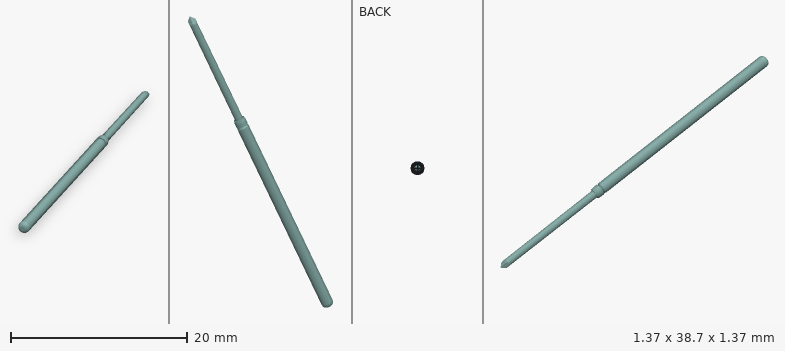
import cadquery as cq
import math


barrel_radius = 0.685
barrel_length = 25.0
rear_round_length = 0.5
rear_flat_radius = 0.285

mouth_length = 0.35
mouth_radius = 0.63

groove_front = -0.85
groove_width = 0.25
groove_depth = 0.15

overall_length = 38.7
plunger_length = overall_length - barrel_length
root_embed = 0.35
head_length = 2.0
head_radius = 0.45
plunger_root_radius = 0.473

vertical_ridge_angle = 28.0
side_ridge_angle = 42.0


def revolve_about_axis(profile):
    """Turn a half profile drawn in the YZ plane around the Y axis."""
    return profile.close().revolve(360, (0, 0, 0), (1, 0, 0))


def make_barrel():
    """Barrel with a rounded rear end, a ring groove and a tapered mouth."""
    rear = -barrel_length
    rear_round_start = rear + rear_round_length
    rear_round_drop = barrel_radius - rear_flat_radius
    rear_arc_radius = (rear_round_length**2 + rear_round_drop**2) / (2 * rear_round_drop)
    half_sweep = math.asin(rear_round_length / rear_arc_radius) / 2
    rear_round_middle = (
        rear_round_start - rear_arc_radius * math.sin(half_sweep),
        barrel_radius - rear_arc_radius * (1 - math.cos(half_sweep)),
    )
    profile = (
        cq.Workplane("YZ")
        .moveTo(rear, 0)
        .lineTo(rear, rear_flat_radius)
        .threePointArc(rear_round_middle, (rear_round_start, barrel_radius))
        .lineTo(groove_front - groove_width, barrel_radius)
        .lineTo(groove_front, barrel_radius - groove_depth)
        .lineTo(groove_front, barrel_radius)
        .lineTo(-mouth_length, barrel_radius)
        .lineTo(0, mouth_radius)
        .lineTo(0, 0)
    )
    return revolve_about_axis(profile)


def make_plunger():
    """Plunger blank with a flat end, starting inside the barrel mouth."""
    profile = (
        cq.Workplane("YZ")
        .moveTo(-root_embed, 0)
        .lineTo(-root_embed, plunger_root_radius)
        .lineTo(0, plunger_root_radius)
        .lineTo(plunger_length - head_length, head_radius)
        .lineTo(plunger_length, head_radius)
        .lineTo(plunger_length, 0)
    )
    return revolve_about_axis(profile)


def make_spear_envelope():
    """Large four-sided pyramid with its apex at the plunger tip."""
    half_width = plunger_length * math.tan(math.radians(side_ridge_angle))
    half_height = plunger_length * math.tan(math.radians(vertical_ridge_angle))
    apex = cq.Vector(0, plunger_length, 0)
    corners = [
        cq.Vector(half_width, 0, 0),
        cq.Vector(0, 0, half_height),
        cq.Vector(-half_width, 0, 0),
        cq.Vector(0, 0, -half_height),
    ]
    faces = [cq.Face.makeFromWires(cq.Wire.makePolygon(corners, close=True))]
    for index, corner in enumerate(corners):
        triangle = [apex, corners[index - 1], corner]
        faces.append(cq.Face.makeFromWires(cq.Wire.makePolygon(triangle, close=True)))
    return cq.Workplane(cq.Solid.makeSolid(cq.Shell.makeShell(faces)))


def make_spear_plunger():
    """Plunger with the four facets cut on its end."""
    root_block = cq.Workplane("XY").box(
        2 * barrel_radius, plunger_length, 2 * barrel_radius
    )
    envelope = make_spear_envelope().union(root_block)
    return make_plunger().intersect(envelope)


result = make_barrel().union(make_spear_plunger())